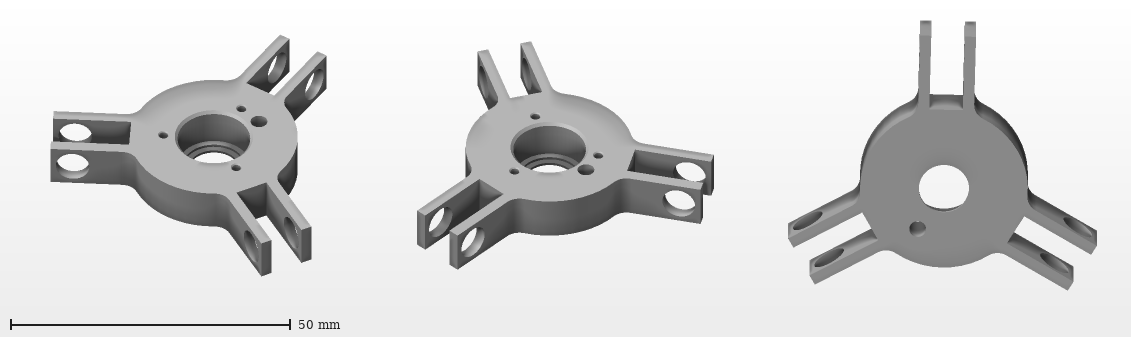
import cadquery as cq
import math

thickness = 8.0
hub_radius = 15.0

arm_count = 3
arm_reach = 29.0
fork_gap = 6.0
prong_thickness = 2.0
arm_half_width = fork_gap / 2 + prong_thickness
root_fillet_radius = 3.0

pivot_diameter = 6.0
pivot_end_distance = 4.0
pivot_radial_position = arm_reach - pivot_end_distance

seat_diameter = 13.0
seat_depth = 7.0
seat_chamfer = 0.5
relief_diameter = 11.0
relief_depth = 7.5
through_bore_diameter = 9.0

hole_circle_radius = 9.0
screw_hole_diameter = 1.6
screw_hole_depth = 6.0
screw_hole_chamfer = 0.2
drill_point_angle = 118.0
side_hole_diameter = 3.0
side_hole_angle = 90.0

arm_angles = [index * 360.0 / arm_count for index in range(arm_count)]


def around_axis(shape, angle):
    """Turn a shape about the hub axis by an angle in degrees."""
    return shape.rotate((0, 0, 0), (0, 0, 1), angle)


def polar_point(radius, angle):
    """X, Y position at a radius and an angle in degrees."""
    return (radius * math.cos(math.radians(angle)), radius * math.sin(math.radians(angle)))


def countersunk_cut(diameter, depth, chamfer):
    """Cylinder sunk from the top face, widened by a 45 degree cone at its mouth."""
    radius = diameter / 2
    return (
        cq.Workplane("XZ")
        .moveTo(0, thickness)
        .lineTo(radius + chamfer, thickness)
        .lineTo(radius, thickness - chamfer)
        .lineTo(radius, thickness - depth)
        .lineTo(0, thickness - depth)
        .close()
        .revolve(360, (0, 0, 0), (0, 1, 0))
    )


def make_arm():
    """Solid arm along +X, flaring into the hub with a concave arc on each side."""
    fillet_center_y = arm_half_width + root_fillet_radius
    fillet_center_distance = hub_radius + root_fillet_radius
    fillet_center_x = math.sqrt(fillet_center_distance**2 - fillet_center_y**2)
    hub_share = hub_radius / fillet_center_distance
    hub_x = fillet_center_x * hub_share
    hub_y = fillet_center_y * hub_share
    toward_hub = 180.0 + math.degrees(math.atan2(fillet_center_y, fillet_center_x))
    toward_arm = 270.0
    offset_x, offset_y = polar_point(root_fillet_radius, (toward_hub + toward_arm) / 2)
    middle_x = fillet_center_x + offset_x
    middle_y = fillet_center_y + offset_y
    return (
        cq.Workplane("XY")
        .moveTo(0, 0)
        .lineTo(hub_x, -hub_y)
        .threePointArc((middle_x, -middle_y), (fillet_center_x, -arm_half_width))
        .lineTo(arm_reach, -arm_half_width)
        .lineTo(arm_reach, arm_half_width)
        .lineTo(fillet_center_x, arm_half_width)
        .threePointArc((middle_x, middle_y), (hub_x, hub_y))
        .close()
        .extrude(thickness)
    )


def make_fork_cut():
    """Slot that splits an arm into two prongs, plus the pivot hole across them."""
    slot_length = arm_reach - hub_radius
    slot = cq.Workplane("XY").box(slot_length, fork_gap, thickness, centered=(False, True, False))
    pivot = (
        cq.Workplane("XZ")
        .center(pivot_radial_position, thickness / 2)
        .circle(pivot_diameter / 2)
        .extrude(arm_half_width, both=True)
    )
    return slot.translate((hub_radius, 0, 0)).union(pivot)


def make_bore_cut():
    """Chamfered seat with two smaller steps below it."""
    seat = countersunk_cut(seat_diameter, seat_depth, seat_chamfer)
    relief = (
        cq.Workplane("XY")
        .workplane(offset=thickness - relief_depth)
        .circle(relief_diameter / 2)
        .extrude(relief_depth)
    )
    through_bore = cq.Workplane("XY").circle(through_bore_diameter / 2).extrude(thickness)
    return seat.union(relief).union(through_bore)


def make_screw_hole_cut():
    """Blind chamfered hole ending in a conical drill point, in line with +X."""
    radius = screw_hole_diameter / 2
    point_height = radius / math.tan(math.radians(drill_point_angle / 2))
    hole = countersunk_cut(screw_hole_diameter, screw_hole_depth, screw_hole_chamfer)
    point_start = cq.Vector(0, 0, thickness - screw_hole_depth)
    downward = cq.Vector(0, 0, -1)
    point = cq.Solid.makeCone(radius, 0, point_height, point_start, downward)
    return hole.union(cq.Workplane(point)).translate((hole_circle_radius, 0, 0))


def make_side_hole_cut():
    """Plain through hole beside the bore."""
    return (
        cq.Workplane("XY")
        .center(*polar_point(hole_circle_radius, side_hole_angle))
        .circle(side_hole_diameter / 2)
        .extrude(thickness)
    )


result = cq.Workplane("XY").circle(hub_radius).extrude(thickness)
for angle in arm_angles:
    result = result.union(around_axis(make_arm(), angle))
for angle in arm_angles:
    result = result.cut(around_axis(make_fork_cut(), angle))
    result = result.cut(around_axis(make_screw_hole_cut(), angle))
result = result.cut(make_bore_cut()).cut(make_side_hole_cut())